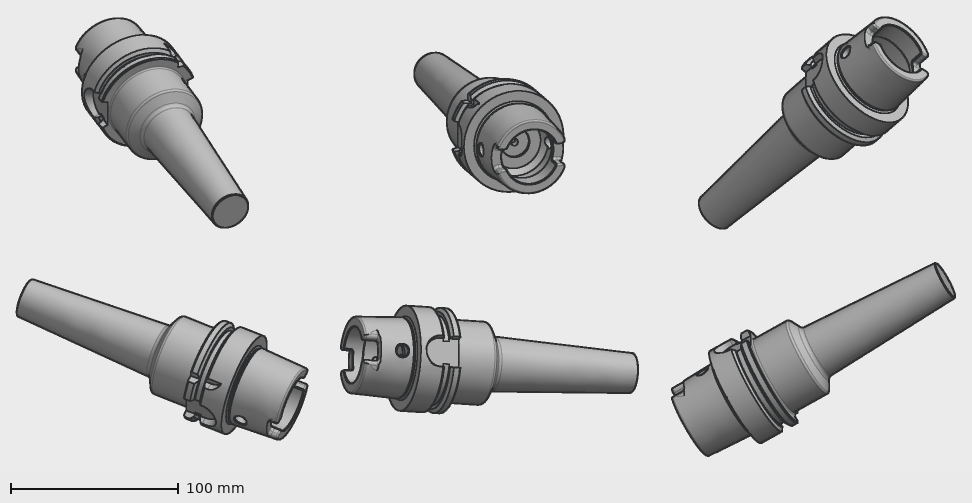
import cadquery as cq
import math

total_length = 177.0
flange_start = 32.0
relief_start = 30.0
relief_slope = 0.5
relief_lip = 0.7
groove_start = 48.1
groove_end = 51.9
groove_chamfer_length = 1.6
flange_end = 57.9
flange_end_chamfer = 0.7
collar_end = 82.1
neck_start = 86.9

flange_radius = 31.5
shank_start_radius = 23.0
shank_end_radius = 24.5
relief_radius = 23.7
relief_lip_radius = 25.1
groove_radius = 27.0
groove_edge_radius = 29.2
collar_radius = 25.0
neck_radius = 16.6
tip_radius = 12.0

collar_root_fillet = 0.9
collar_edge_fillet = 1.8
neck_fillet = 3.2
tip_chamfer = 0.5
shank_mouth_round = 1.0
bore_edge_chamfer = 0.5

bore_radius = 16.8
bore_depth = 12.4
undercut_radius = 19.3
undercut_lead_angle = 60.0
undercut_end = 25.1
bore_floor_radius = 15.8
recess_radius = 8.8
recess_depth = 1.8
pin_hole_radius = 2.1
pin_hole_depth = 5.3
drill_point_angle = 118.0

drive_slot_half_width = 6.2
drive_slot_edge_round = 2.3
drive_slot_round_reach = 23.2
drive_slot_floor_fillet = 1.8
front_drive_slot_depth = 9.7
rear_drive_slot_depth = 6.0

cross_hole_position = 23.0
cross_hole_radius = 3.7
cross_hole_chamfer = 0.5

gripper_slot_floor = 26.2
gripper_slot_half_width = 8.5
gripper_slot_start = 37.0
gripper_slot_draft = 15.0

notch_floor = 19.8
notch_wall = 20.2
notch_radius = 8.0
notch_start = 36.8

clearance = 8.8
match_tolerance = 0.09


def distance_from_axis(edge):
    """Distance of an edge's midpoint from the X axis."""
    middle = edge.positionAt(0.5)
    return math.hypot(middle.y, middle.z)


def turned_body():
    """Solid of revolution about X, with its blends on the collar and tip."""
    outline = (
        cq.Workplane("XY")
        .moveTo(0, 0)
        .lineTo(0, shank_start_radius)
        .lineTo(relief_start, shank_end_radius)
        .lineTo(relief_start + relief_slope, relief_radius)
        .lineTo(flange_start - relief_lip, relief_radius)
        .lineTo(flange_start, relief_lip_radius)
        .lineTo(flange_start, flange_radius)
        .lineTo(groove_start - groove_chamfer_length, flange_radius)
        .lineTo(groove_start, groove_edge_radius)
        .lineTo(groove_start, groove_radius)
        .lineTo(groove_end, groove_radius)
        .lineTo(groove_end, groove_edge_radius)
        .lineTo(groove_end + groove_chamfer_length, flange_radius)
        .lineTo(flange_end - flange_end_chamfer, flange_radius)
        .lineTo(flange_end, flange_radius - flange_end_chamfer)
        .lineTo(flange_end, collar_radius)
        .lineTo(collar_end, collar_radius)
        .lineTo(neck_start, neck_radius)
        .lineTo(total_length, tip_radius)
        .lineTo(total_length, 0)
        .close()
    )
    body = outline.revolve(360, (0, 0, 0), (1, 0, 0))

    def circle_at(x, radius):
        reach = radius + match_tolerance
        return cq.selectors.BoxSelector(
            (x - match_tolerance, -reach, -reach),
            (x + match_tolerance, reach, reach),
            boundingbox=True,
        )

    body = body.edges(circle_at(neck_start, neck_radius)).fillet(neck_fillet)
    body = body.edges(circle_at(collar_end, collar_radius)).fillet(collar_edge_fillet)
    body = body.edges(circle_at(flange_end, collar_radius)).fillet(collar_root_fillet)
    return body.edges(circle_at(total_length, tip_radius)).chamfer(tip_chamfer)


def bore():
    """Bore from the shank end with a clamping undercut and a drilled centre hole."""
    undercut_step = undercut_radius - bore_radius
    undercut_start = bore_depth + undercut_step / math.tan(math.radians(undercut_lead_angle))
    bore_floor_depth = undercut_end + undercut_radius - bore_floor_radius
    recess_end = bore_floor_depth + recess_depth
    pin_end = recess_end + pin_hole_depth
    point_length = pin_hole_radius / math.tan(math.radians(drill_point_angle / 2))
    return (
        cq.Workplane("XY")
        .moveTo(0, 0)
        .lineTo(0, bore_radius)
        .lineTo(bore_depth, bore_radius)
        .lineTo(undercut_start, undercut_radius)
        .lineTo(undercut_end, undercut_radius)
        .lineTo(bore_floor_depth, bore_floor_radius)
        .lineTo(bore_floor_depth, recess_radius)
        .lineTo(recess_end, recess_radius)
        .lineTo(recess_end, pin_hole_radius)
        .lineTo(pin_end, pin_hole_radius)
        .lineTo(pin_end + point_length, 0)
        .close()
        .revolve(360, (0, 0, 0), (1, 0, 0))
    )


def drive_slot(depth):
    """Slot through the +Y shank wall, with its outer edges rounded over.

    Each round is tangent to the slot side and to a circle about the shank axis,
    and runs on outwards along the tangent of that circle.
    """
    half = drive_slot_half_width
    rounding = drive_slot_edge_round
    centre_z = half + rounding
    centre_distance = drive_slot_round_reach - rounding
    centre_y = math.sqrt(centre_distance**2 - centre_z**2)
    contact_angle = math.asin(centre_z / centre_distance)
    mid_angle = (contact_angle - math.pi / 2) / 2

    def on_round(angle):
        return centre_y + rounding * math.cos(angle), centre_z + rounding * math.sin(angle)

    def mirrored(point):
        return point[0], -point[1]

    contact = on_round(contact_angle)
    run_out = (
        contact[0] - clearance * math.sin(contact_angle),
        contact[1] + clearance * math.cos(contact_angle),
    )
    outer_corner = (drive_slot_round_reach + clearance, run_out[1])
    return (
        cq.Workplane("YZ")
        .moveTo(0, -half)
        .lineTo(centre_y, -half)
        .threePointArc(mirrored(on_round(mid_angle)), mirrored(contact))
        .lineTo(*mirrored(run_out))
        .lineTo(*mirrored(outer_corner))
        .lineTo(*outer_corner)
        .lineTo(*run_out)
        .lineTo(*contact)
        .threePointArc(on_round(mid_angle), (centre_y, half))
        .lineTo(0, half)
        .close()
        .extrude(depth)
        .faces(">X")
        .edges("not(<Y or >Y or <Z or >Z)")
        .fillet(drive_slot_floor_fillet)
    )


def drill_cross_hole(body):
    """Hole along Y through both shank walls, chamfered on the outside."""
    drill = (
        cq.Workplane("XZ")
        .center(cross_hole_position, 0)
        .circle(cross_hole_radius)
        .extrude(flange_radius, both=True)
    )
    reach = cross_hole_radius + cross_hole_chamfer
    around_hole = cq.selectors.BoxSelector(
        (cross_hole_position - reach, -flange_radius, -reach),
        (cross_hole_position + reach, flange_radius, reach),
        boundingbox=True,
    )
    drilled = body.cut(drill)
    rims = drilled.edges(around_hole).filter(lambda edge: distance_from_axis(edge) > shank_start_radius)
    return rims.chamfer(cross_hole_chamfer)


def gripper_slot():
    """Round-ended slot with drafted sides in the +Y side of the flange."""
    half = gripper_slot_half_width
    end_centre = gripper_slot_start + half
    open_end = flange_end + clearance
    return (
        cq.Workplane("XZ", origin=(0, gripper_slot_floor, 0))
        .moveTo(open_end, -half)
        .lineTo(end_centre, -half)
        .threePointArc((gripper_slot_start, 0), (end_centre, half))
        .lineTo(open_end, half)
        .close()
        .extrude(-clearance, taper=-gripper_slot_draft)
    )


def orientation_notch():
    """Round-ended slot milled along Y that runs off the top of the flange."""
    top = notch_wall + 2 * notch_radius
    end_centre = notch_start + notch_radius
    return (
        cq.Workplane("XZ", origin=(0, notch_floor, 0))
        .moveTo(flange_end, notch_wall)
        .lineTo(end_centre, notch_wall)
        .threePointArc((notch_start, notch_wall + notch_radius), (end_centre, top))
        .lineTo(flange_end, top)
        .close()
        .extrude(-flange_radius)
    )


def round_shank_mouth(body):
    """Round the outer rim of the shank end and the slot edges that meet it."""
    mouth_edges = body.faces("<X").edges()
    outer_edges = mouth_edges.filter(lambda edge: distance_from_axis(edge) > bore_radius + bore_edge_chamfer)
    return outer_edges.fillet(shank_mouth_round)


def chamfer_bore_mouth(body):
    """Chamfer the bore edge all round, along the shank end and the drive slots."""
    near_mouth = cq.selectors.BoxSelector(
        (-clearance, -flange_radius, -flange_radius),
        (bore_depth - bore_edge_chamfer, flange_radius, flange_radius),
        boundingbox=True,
    )

    def on_bore(edge):
        return abs(distance_from_axis(edge) - bore_radius) < match_tolerance

    bore_edges = body.edges(near_mouth).filter(on_bore)
    return bore_edges.chamfer(bore_edge_chamfer)


result = turned_body().cut(bore())
result = result.cut(drive_slot(rear_drive_slot_depth))
result = result.cut(drive_slot(front_drive_slot_depth).mirror("XZ"))
result = round_shank_mouth(result)
result = chamfer_bore_mouth(result)
result = drill_cross_hole(result)
result = result.cut(gripper_slot())
result = result.cut(gripper_slot().mirror("XZ"))
result = result.cut(orientation_notch())